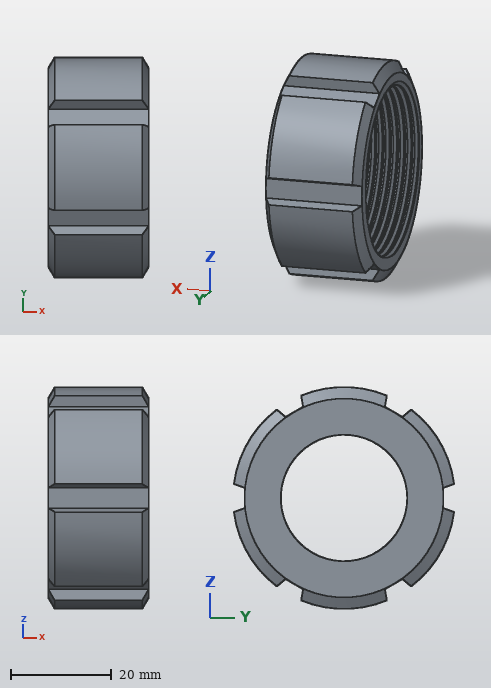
import cadquery as cq
import math

width = 20.0
outer_radius = 22.0
end_radius = 19.7
chamfer_angle = 30.0
chamfer_length = (outer_radius - end_radius) * math.tan(math.radians(chamfer_angle))

slot_count = 6
slot_floor_width = 4.0
slot_flank_angle = 20.0

through_bore_radius = 12.5
socket_depth = 15.0

thread_radius = 18.0
pitch = 1.5
thread_flank_angle = 30.0
thread_root_flat = pitch / 8
thread_crest_flat = pitch / 4
thread_flank_run = (pitch - thread_root_flat - thread_crest_flat) / 2
thread_depth = thread_flank_run / math.tan(math.radians(thread_flank_angle))
thread_core_radius = thread_radius - thread_depth
thread_turns = 7
thread_length = thread_turns * pitch
thread_root_angle = 135.0
thread_overlap = 0.15
relief_radius = 18.8

slot_cutter_overrun = 1.0


def cylinder(radius, x_start, x_end):
    return cq.Workplane("YZ", origin=(x_start, 0, 0)).circle(radius).extrude(x_end - x_start)


def make_blank():
    """Round blank with a cone chamfer at each end."""
    return (
        cq.Workplane("XY")
        .moveTo(0, 0)
        .lineTo(0, end_radius)
        .lineTo(chamfer_length, outer_radius)
        .lineTo(width - chamfer_length, outer_radius)
        .lineTo(width, end_radius)
        .lineTo(width, 0)
        .close()
        .revolve(360, (0, 0, 0), (1, 0, 0))
    )


def make_slot():
    """Flat-floored slot along X on the +Y side, widening outwards."""
    slot_top = outer_radius + slot_cutter_overrun
    floor_half = slot_floor_width / 2
    top_half = floor_half + (slot_top - end_radius) * math.tan(math.radians(slot_flank_angle))
    return (
        cq.Workplane("YZ")
        .moveTo(end_radius, -floor_half)
        .lineTo(slot_top, -top_half)
        .lineTo(slot_top, top_half)
        .lineTo(end_radius, floor_half)
        .close()
        .extrude(width)
    )


def make_thread_turn():
    """One right-hand turn of the thread groove, its root crossing the X = 0 plane at the root angle."""
    inner_radius = thread_core_radius - thread_overlap
    root_half = thread_root_flat / 2
    mouth_half = root_half + (thread_radius - inner_radius) * math.tan(math.radians(thread_flank_angle))
    helix = cq.Wire.makeHelix(pitch, pitch, thread_core_radius)
    turn_along_z = (
        cq.Workplane("XZ")
        .moveTo(inner_radius, -mouth_half)
        .lineTo(thread_radius, -root_half)
        .lineTo(thread_radius, root_half)
        .lineTo(inner_radius, mouth_half)
        .close()
        .sweep(cq.Workplane(helix), isFrenet=True)
    )
    turn_along_x = turn_along_z.rotate((0, 0, 0), (0, 1, 0), 90)
    return turn_along_x.rotate((0, 0, 0), (1, 0, 0), thread_root_angle + 90)


nut = make_blank()
for index in range(slot_count):
    nut = nut.cut(make_slot().rotate((0, 0, 0), (1, 0, 0), index * 360 / slot_count))

nut = nut.cut(cylinder(through_bore_radius, 0, width))
nut = nut.cut(cylinder(thread_core_radius, 0, thread_length))
nut = nut.cut(cylinder(relief_radius, thread_length, socket_depth))

thread_turn = make_thread_turn()
for turn in range(-1, thread_turns + 1):
    nut = nut.cut(thread_turn.translate((turn * pitch, 0, 0)), clean=False)

result = nut